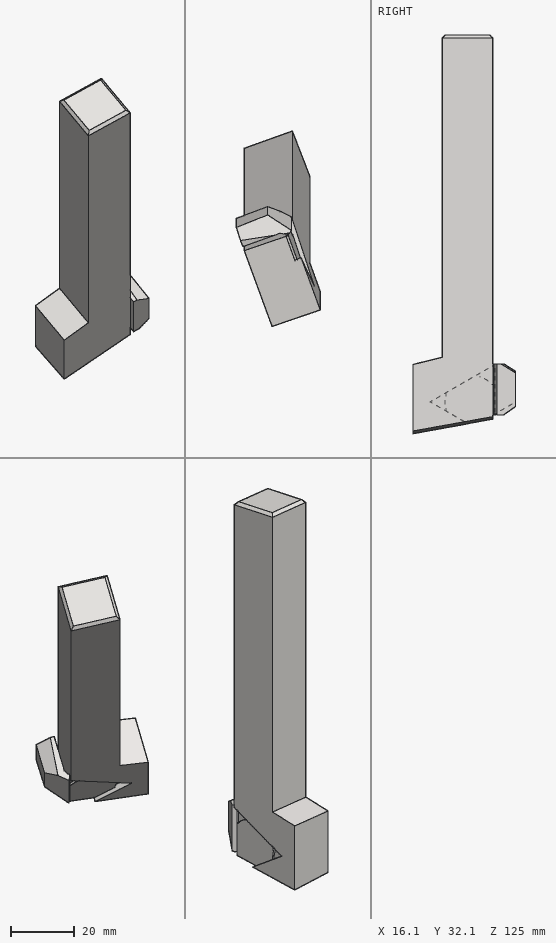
import cadquery as cq
import math


width = 16.1
shank_depth = 15.9
height = 125.0
end_chamfer = 1.0
heel_depth = 9.1
ledge_inner_z = 24.0
ledge_outer_z = 21.7
bottom_shank_z = 4.5
bottom_relief = 0.9
waste_depth = 1.2
heel_y = -(shank_depth + heel_depth)

pocket_depth = 2.1
plate_recess = 1.4
pocket_slope = math.tan(math.radians(30))
apex_y = -19.6
apex_z = 10.0
nose_y = -14.6
nose_bulge = 0.4
nose_half_height = 2.1
shoulder_start = (0, 15.2)
shoulder_middle = (-1.9, 16.9)
shoulder_end = (-4.0, 17.7)

head_y = 7.1
head_top_z = 21.9
head_bottom_z = 5.9
rake_run = 5.6
tip_y = 0.7
head_back_y = 1.2
neck_corner_y = 0.4
neck_ramp_x = 3.7
upper_corner_slope = 0.6
lower_corner_slope = 0.7
upper_corner_z = 19.9
lower_corner_z = 10.7
upper_corner_taper = 0.7
lower_corner_taper = 2.2
head_inner_y = -2.5


def side_sketch(x=0.0):
    """Sketch plane with local axes along Y and Z."""
    return cq.Workplane("YZ", origin=(x, 0, 0))


def pocket_half_height(y):
    return (y - apex_y) * pocket_slope


def loft_sections(first, second):
    """Solid with flat sides between two outlines of X, Y, Z points."""
    wires = [
        cq.Wire.makePolygon([cq.Vector(*point) for point in outline], close=True)
        for outline in (first, second)
    ]
    return cq.Solid.makeLoft(wires, True)


def holder_blank():
    shank = (
        cq.Workplane("XY")
        .box(width, shank_depth, height, centered=False)
        .translate((0, -shank_depth, 0))
        .faces(">Z")
        .chamfer(end_chamfer)
    )
    heel = (
        side_sketch()
        .polyline([
            (-shank_depth, 0),
            (heel_y, 0),
            (heel_y, ledge_outer_z),
            (-shank_depth, ledge_inner_z),
        ])
        .close()
        .extrude(width)
    )

    def below_bottom(x, rise):
        return [
            (x, 0, bottom_shank_z + rise),
            (x, heel_y, rise),
            (x, heel_y, -waste_depth),
            (x, 0, -waste_depth),
        ]

    waste = cq.Workplane(obj=loft_sections(
        below_bottom(0, 0),
        below_bottom(width, bottom_relief),
    ))
    return shank.union(heel).cut(waste)


def pocket():
    half_height = pocket_half_height(0)
    return (
        side_sketch()
        .polyline([(0, apex_z + half_height), (apex_y, apex_z), (0, apex_z - half_height)])
        .close()
        .extrude(pocket_depth)
    )


def insert_plate(blank):
    """Pocket filling with two rounded corners, trimmed to the holder's bottom."""
    nose_reach = pocket_half_height(nose_y)
    shoulder_reach = pocket_half_height(shoulder_end[0])
    outline = (
        side_sketch(plate_recess)
        .moveTo(*shoulder_start)
        .threePointArc(shoulder_middle, shoulder_end)
        .lineTo(shoulder_end[0], apex_z + shoulder_reach)
        .lineTo(nose_y, apex_z + nose_reach)
        .lineTo(nose_y, apex_z + nose_half_height)
        .threePointArc((nose_y - nose_bulge, apex_z), (nose_y, apex_z - nose_half_height))
        .lineTo(nose_y, apex_z - nose_reach)
        .lineTo(0, apex_z - pocket_half_height(0))
        .close()
    )
    return outline.extrude(pocket_depth - plate_recess).intersect(blank)


def head_section(x):
    """Outline across the cutting head, with both outer corners cut."""
    upper_z = upper_corner_z - upper_corner_taper * x / width
    lower_z = lower_corner_z - lower_corner_taper * x / width
    upper_knee_y = head_y - (head_top_z - upper_z) / upper_corner_slope
    lower_knee_y = head_y - (lower_z - head_bottom_z) / lower_corner_slope
    return [
        (x, head_inner_y, head_bottom_z),
        (x, lower_knee_y, head_bottom_z),
        (x, head_y, lower_z),
        (x, head_y, upper_z),
        (x, upper_knee_y, head_top_z),
        (x, head_inner_y, head_top_z),
    ]


def cutting_head():
    profile = (
        cq.Workplane("XY", origin=(0, 0, head_bottom_z))
        .polyline([
            (plate_recess, 0),
            (0, tip_y),
            (rake_run, head_y),
            (width, head_y),
            (width, head_back_y),
            (neck_ramp_x, head_back_y),
            (pocket_depth, neck_corner_y),
            (pocket_depth, 0),
        ])
        .close()
        .extrude(head_top_z - head_bottom_z)
    )
    envelope = cq.Workplane(obj=loft_sections(head_section(0), head_section(width)))
    return profile.intersect(envelope)


blank = holder_blank()
holder = blank.cut(pocket())
insert = insert_plate(blank).union(cutting_head())

result = cq.Compound.makeCompound([*holder.solids().vals(), *insert.solids().vals()])